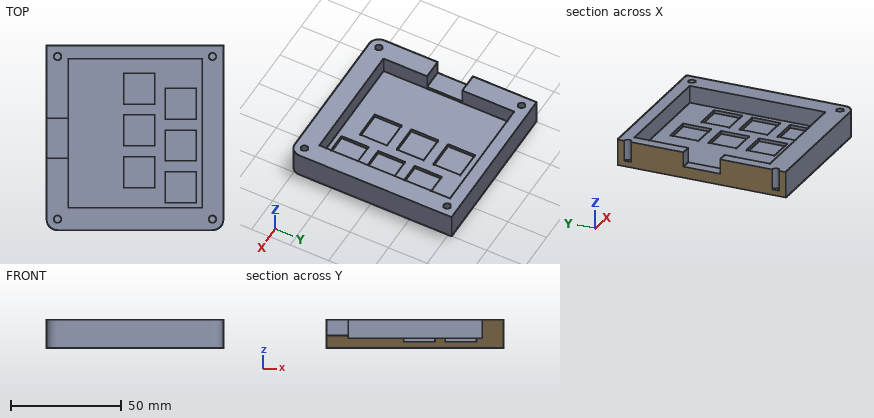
import cadquery as cq

LENGTH_X = 80.5
LENGTH_Y = 84.0
HEIGHT = 13.0
CORNER_RADIUS = 5.0
LEFT = -LENGTH_X / 2
FRONT = -LENGTH_Y / 2

LEFT_WALL = 10.0
RIGHT_WALL = 9.75
FRONT_WALL = 10.2
BACK_WALL = 6.1
FLOOR_Z = 4.5

RECESS_SIZE = 14.0
RECESS_PITCH = 19.0
RECESS_DEPTH = 1.5
RECESSES_PER_COLUMN = 3
RECESS_FLOOR_Z = FLOOR_Z - RECESS_DEPTH
RECESS_COLUMNS = [(35.2, 19.4), (54.1, 12.5)]

NOTCH_WIDTH = 18.2
NOTCH_DEPTH = 7.2
NOTCH_FROM_BACK = 33.0

HOLE_DIAMETER = 3.4
HOLE_INSET = 5.0


def block(x, y, z, size_x, size_y, size_z):
    """Box whose lowest corner is at (x, y, z)."""
    return cq.Workplane("XY").box(size_x, size_y, size_z, centered=False).translate((x, y, z))


def make_body():
    body = block(LEFT, FRONT, 0, LENGTH_X, LENGTH_Y, HEIGHT)
    return body.edges("|Z and <Y").fillet(CORNER_RADIUS)


def make_cavity():
    size_x = LENGTH_X - LEFT_WALL - RIGHT_WALL
    size_y = LENGTH_Y - FRONT_WALL - BACK_WALL
    return block(LEFT + LEFT_WALL, FRONT + FRONT_WALL, FLOOR_Z, size_x, size_y, HEIGHT - FLOOR_Z)


def make_notch():
    y = LENGTH_Y / 2 - NOTCH_FROM_BACK - NOTCH_WIDTH
    return block(LEFT, y, HEIGHT - NOTCH_DEPTH, LEFT_WALL, NOTCH_WIDTH, NOTCH_DEPTH)


def make_holes():
    return (
        cq.Workplane("XY", origin=(0, 0, RECESS_FLOOR_Z))
        .rect(LENGTH_X - 2 * HOLE_INSET, LENGTH_Y - 2 * HOLE_INSET, forConstruction=True)
        .vertices()
        .circle(HOLE_DIAMETER / 2)
        .extrude(HEIGHT - RECESS_FLOOR_Z)
    )


result = make_body().cut(make_cavity()).cut(make_notch()).cut(make_holes())
for from_left, from_front in RECESS_COLUMNS:
    for row in range(RECESSES_PER_COLUMN):
        recess_y = FRONT + from_front + row * RECESS_PITCH
        recess = block(
            LEFT + from_left, recess_y, RECESS_FLOOR_Z, RECESS_SIZE, RECESS_SIZE, RECESS_DEPTH
        )
        result = result.cut(recess)